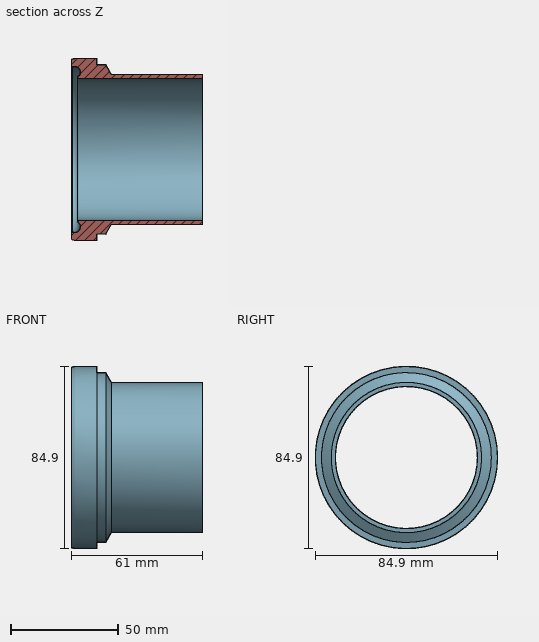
import cadquery as cq

overall_length = 61.0
bore_radius = 66.0 / 2
tube_radius = 70.0 / 2
shoulder_radius = 79.0 / 2
collar_radius = 84.9 / 2

collar_end = 11.8
shoulder_end = 16.0
taper_end = 18.5

rim_round = 0.5
rim_radius = 42.1
rim_taper_end = 1.8

groove_radius = 38.4
groove_edge_round = 0.5
groove_bottom_radius = 36.0
lip_outer_radius = 34.5
lip_round = 0.7

groove_bottom = 4.1
lip_face = 2.9
floor_end = lip_face + lip_round


def outer_body():
    """Revolved solid with the collar, shoulder, taper and tube."""
    profile = [
        (0, 0),
        (0, rim_radius),
        (rim_taper_end, collar_radius),
        (collar_end, collar_radius),
        (collar_end, shoulder_radius),
        (shoulder_end, shoulder_radius),
        (taper_end, tube_radius),
        (overall_length, tube_radius),
        (overall_length, 0),
    ]
    body = cq.Workplane("XY").polyline(profile).close().revolve(360, (0, 0, 0), (1, 0, 0))
    return body.faces("<X").edges().fillet(rim_round)


def inner_cavity():
    """Revolved cutter for the bore, lip and concave seal groove."""
    profile = (
        cq.Workplane("XY")
        .moveTo(0, 0)
        .lineTo(0, groove_radius + groove_edge_round)
        .radiusArc((groove_edge_round, groove_radius), -groove_edge_round)
        .threePointArc((groove_bottom, groove_bottom_radius), (floor_end, lip_outer_radius))
        .radiusArc((lip_face, lip_outer_radius - lip_round), -lip_round)
        .lineTo(lip_face, bore_radius + lip_round)
        .radiusArc((floor_end, bore_radius), -lip_round)
        .lineTo(overall_length, bore_radius)
        .lineTo(overall_length, 0)
        .close()
    )
    return profile.revolve(360, (0, 0, 0), (1, 0, 0))


result = outer_body().cut(inner_cavity())